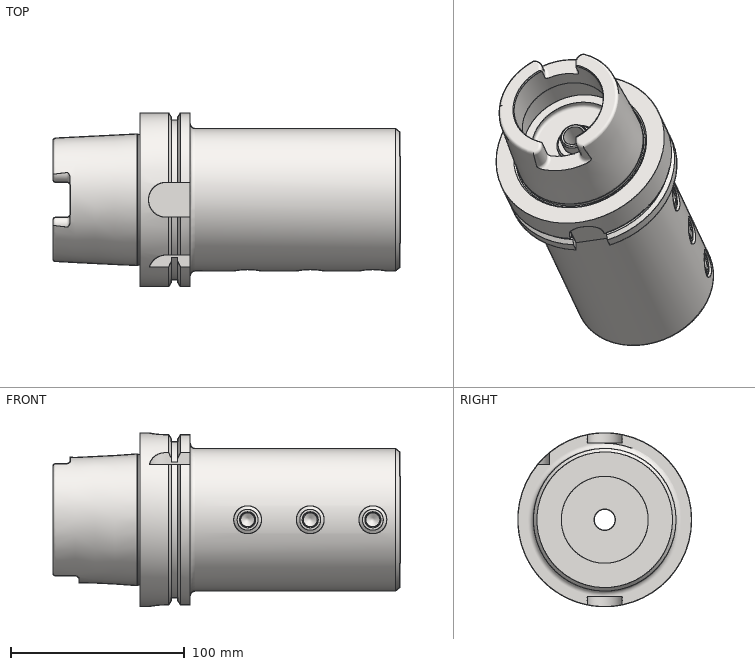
import cadquery as cq
import math


SHANK_LENGTH = 50.0
TAPER_DIAMETER = 75.7
TAPER_END_X = -2.7
TAPER_SLOPE = 0.05
TAIL_ROUNDING = 1.8
MOUTH_DIAMETER = 53.0
MOUTH_CHAMFER_DIAMETER = 53.8
MOUTH_CHAMFER_LENGTH = 1.0
CLAMP_DIAMETER = 63.0
CLAMP_START_X = -30.0
CLAMP_END_X = -9.0
CAVITY_FLOOR_X = -5.0
CAVITY_FLOOR_RADIUS = 1.6

UNDERCUT_START_X = -1.5
UNDERCUT_STRAIGHT_X = -0.9
UNDERCUT_INNER_DIAMETER = 75.3
UNDERCUT_FLOOR_DIAMETER = 77.0
UNDERCUT_OUTER_DIAMETER = 79.0
UNDERCUT_DEPTH = 1.0

DRIVE_SLOT_WIDTH = 20.0
DRIVE_SLOT_LIP_RADIUS = 5.0
DRIVE_SLOT_LIP_HEIGHT = 32.3
DRIVE_SLOT_FLOOR_RADIUS = 2.0
TOP_DRIVE_SLOT_DEPTH = 10.0
BOTTOM_DRIVE_SLOT_DEPTH = 15.0
DRIVE_SLOT_INNER_HEIGHT = 20.0
DRIVE_SLOT_OUTER_Y = 20.0

FLANGE_DIAMETER = 100.0
FLANGE_WIDTH = 29.0
GROOVE_CENTER_X = 20.0
GROOVE_FLOOR_WIDTH = 3.6
GROOVE_MOUTH_WIDTH = 6.8
GROOVE_FLOOR_DIAMETER = 92.0
GROOVE_KNEE_DIAMETER = 95.0

KEY_SLOT_WIDTH = 20.0
KEY_SLOT_START_X = 5.0
KEY_SLOT_FLOOR = 44.0
NOTCH_WALL = 31.8

BODY_DIAMETER = 82.0
BODY_END_X = 150.0
BODY_ROOT_RADIUS = 3.0
FACE_PAD_DIAMETER = 50.0
FACE_PAD_HEIGHT = 0.5
NOSE_CHAMFER_LENGTH = 2.5
NOSE_CHAMFER_DEPTH = 2.0

NUT_DIAMETER = 24.0
NUT_FACE_DIAMETER = 22.0
NUT_HEIGHT = 3.0
TUBE_DIAMETER = 16.0
TUBE_TIP_DIAMETER = 14.4
TUBE_HEIGHT = 10.0
THROUGH_DIAMETER = 12.0

SCREW_X_FIRST = 62.0
SCREW_SPACING = 36.0
SCREW_COUNT = 3
SCREW_DIAMETER = 16.0
SCREW_FACE_DIAMETER = 12.0
SCREW_FACE_DEPTH = 1.0
SCREW_BEVEL_ANGLE = 30.0
SOCKET_MOUTH_DIAMETER = 9.24
SOCKET_DIAMETER = 8.0
SOCKET_DEPTH = 2.0
SOCKET_TIP_ANGLE = 120.0


def taper_radius(x):
    return TAPER_DIAMETER / 2 + TAPER_SLOPE * (x - TAPER_END_X)


def revolve_about_x(profile):
    return profile.close().revolve(360, (0, 0, 0), (1, 0, 0))


def make_outside():
    """Solid of revolution: shank, undercut, grooved flange and body."""
    flange_radius = FLANGE_DIAMETER / 2
    body_radius = BODY_DIAMETER / 2
    face_x = BODY_END_X - FACE_PAD_HEIGHT
    root_center = (FLANGE_WIDTH + BODY_ROOT_RADIUS, body_radius + BODY_ROOT_RADIUS)
    root_middle = (
        root_center[0] - BODY_ROOT_RADIUS * math.sqrt(0.5),
        root_center[1] - BODY_ROOT_RADIUS * math.sqrt(0.5),
    )
    profile = (
        cq.Workplane("XY")
        .moveTo(-SHANK_LENGTH, 0)
        .lineTo(-SHANK_LENGTH, taper_radius(-SHANK_LENGTH))
        .lineTo(TAPER_END_X, TAPER_DIAMETER / 2)
        .lineTo(UNDERCUT_START_X, TAPER_DIAMETER / 2)
        .lineTo(UNDERCUT_STRAIGHT_X, UNDERCUT_INNER_DIAMETER / 2)
        .lineTo(UNDERCUT_DEPTH, UNDERCUT_INNER_DIAMETER / 2)
        .lineTo(UNDERCUT_DEPTH, UNDERCUT_FLOOR_DIAMETER / 2)
        .lineTo(0, UNDERCUT_OUTER_DIAMETER / 2)
        .lineTo(0, flange_radius)
        .lineTo(GROOVE_CENTER_X - GROOVE_MOUTH_WIDTH / 2, flange_radius)
        .lineTo(GROOVE_CENTER_X - GROOVE_FLOOR_WIDTH / 2, GROOVE_KNEE_DIAMETER / 2)
        .lineTo(GROOVE_CENTER_X - GROOVE_FLOOR_WIDTH / 2, GROOVE_FLOOR_DIAMETER / 2)
        .lineTo(GROOVE_CENTER_X + GROOVE_FLOOR_WIDTH / 2, GROOVE_FLOOR_DIAMETER / 2)
        .lineTo(GROOVE_CENTER_X + GROOVE_FLOOR_WIDTH / 2, GROOVE_KNEE_DIAMETER / 2)
        .lineTo(GROOVE_CENTER_X + GROOVE_MOUTH_WIDTH / 2, flange_radius)
        .lineTo(FLANGE_WIDTH, flange_radius)
        .lineTo(FLANGE_WIDTH, root_center[1])
        .threePointArc(root_middle, (root_center[0], body_radius))
        .lineTo(face_x - NOSE_CHAMFER_LENGTH, body_radius)
        .lineTo(face_x, body_radius - NOSE_CHAMFER_DEPTH)
        .lineTo(face_x, FACE_PAD_DIAMETER / 2)
        .lineTo(BODY_END_X, FACE_PAD_DIAMETER / 2)
        .lineTo(BODY_END_X, 0)
    )
    return revolve_about_x(profile)


def make_shank_cavity():
    """Cutter for the shank cavity: chamfered mouth, clamping groove and rounded floor."""
    mouth_radius = MOUTH_DIAMETER / 2
    bend = CAVITY_FLOOR_RADIUS * math.sqrt(0.5)
    bend_center_x = CAVITY_FLOOR_X - CAVITY_FLOOR_RADIUS
    bend_center_r = mouth_radius - CAVITY_FLOOR_RADIUS
    profile = (
        cq.Workplane("XY")
        .moveTo(-SHANK_LENGTH, 0)
        .lineTo(-SHANK_LENGTH, MOUTH_CHAMFER_DIAMETER / 2)
        .lineTo(-SHANK_LENGTH + MOUTH_CHAMFER_LENGTH, mouth_radius)
        .lineTo(CLAMP_START_X, mouth_radius)
        .lineTo(CLAMP_START_X, CLAMP_DIAMETER / 2)
        .lineTo(CLAMP_END_X, CLAMP_DIAMETER / 2)
        .lineTo(CLAMP_END_X, mouth_radius)
        .lineTo(bend_center_x, mouth_radius)
        .threePointArc(
            (bend_center_x + bend, bend_center_r + bend),
            (CAVITY_FLOOR_X, bend_center_r),
        )
        .lineTo(CAVITY_FLOOR_X, 0)
    )
    return revolve_about_x(profile)


def make_coolant_tube():
    """Coolant tube and its nut, standing on the cavity floor, both with chamfered ends."""
    nut_x = CAVITY_FLOOR_X - NUT_HEIGHT
    tip_x = CAVITY_FLOOR_X - TUBE_HEIGHT
    nut_chamfer = (NUT_DIAMETER - NUT_FACE_DIAMETER) / 2
    tip_chamfer = (TUBE_DIAMETER - TUBE_TIP_DIAMETER) / 2
    profile = (
        cq.Workplane("XY")
        .moveTo(CAVITY_FLOOR_X, 0)
        .lineTo(CAVITY_FLOOR_X, NUT_DIAMETER / 2)
        .lineTo(nut_x + nut_chamfer, NUT_DIAMETER / 2)
        .lineTo(nut_x, NUT_FACE_DIAMETER / 2)
        .lineTo(nut_x, TUBE_DIAMETER / 2)
        .lineTo(tip_x + tip_chamfer, TUBE_DIAMETER / 2)
        .lineTo(tip_x, TUBE_TIP_DIAMETER / 2)
        .lineTo(tip_x, 0)
    )
    return revolve_about_x(profile)


def make_through_bore():
    """Cutter for the coolant bore that runs through the tube and the whole body."""
    return (
        cq.Workplane("YZ", origin=(-SHANK_LENGTH, 0, 0))
        .circle(THROUGH_DIAMETER / 2)
        .extrude(SHANK_LENGTH + BODY_END_X)
    )


def make_slot_jaw(depth):
    """Material left on the +Y side of a tail slot, with its tail edge rounded."""
    half_width = DRIVE_SLOT_WIDTH / 2
    lip_y = half_width + DRIVE_SLOT_LIP_RADIUS
    lip_start_z = DRIVE_SLOT_LIP_HEIGHT - DRIVE_SLOT_LIP_RADIUS
    arc_offset = DRIVE_SLOT_LIP_RADIUS * math.sqrt(0.5)
    jaw = (
        cq.Workplane("YZ", origin=(-SHANK_LENGTH, 0, 0))
        .moveTo(half_width, DRIVE_SLOT_INNER_HEIGHT)
        .lineTo(half_width, lip_start_z)
        .threePointArc(
            (lip_y - arc_offset, lip_start_z + arc_offset),
            (lip_y, DRIVE_SLOT_LIP_HEIGHT),
        )
        .lineTo(DRIVE_SLOT_OUTER_Y, DRIVE_SLOT_LIP_HEIGHT)
        .lineTo(DRIVE_SLOT_OUTER_Y, DRIVE_SLOT_INNER_HEIGHT)
        .close()
        .extrude(depth)
    )
    wall_point = (-SHANK_LENGTH, half_width, lip_start_z)
    wall_edge = cq.selectors.NearestToPointSelector(wall_point)
    return jaw.faces("<X").edges(wall_edge).fillet(TAIL_ROUNDING)


def make_drive_slot(depth):
    """Cutter for a tail slot at +Z whose side walls flare outward in an arc."""
    floor_x = depth - SHANK_LENGTH
    height = TAPER_DIAMETER / 2 - DRIVE_SLOT_INNER_HEIGHT
    lip_start_z = DRIVE_SLOT_LIP_HEIGHT - DRIVE_SLOT_LIP_RADIUS
    jaw = make_slot_jaw(depth)
    slot = (
        cq.Workplane("YZ", origin=(-SHANK_LENGTH, 0, DRIVE_SLOT_INNER_HEIGHT + height / 2))
        .rect(2 * DRIVE_SLOT_OUTER_Y, height)
        .extrude(depth)
        .cut(jaw)
        .cut(jaw.mirror("XZ"))
    )
    for side in (1, -1):
        wall_point = (floor_x, side * DRIVE_SLOT_WIDTH / 2, lip_start_z)
        wall_edge = cq.selectors.NearestToPointSelector(wall_point)
        slot = slot.faces(">X").edges(wall_edge).fillet(DRIVE_SLOT_FLOOR_RADIUS)
    return slot


def make_rim_slot(center_y, floor_z):
    """Cutter for a round-ended slot that opens at the body side of the flange."""
    radius = KEY_SLOT_WIDTH / 2
    end_center_x = KEY_SLOT_START_X + radius
    return (
        cq.Workplane("XY", origin=(0, center_y, floor_z))
        .moveTo(FLANGE_WIDTH, -radius)
        .lineTo(end_center_x, -radius)
        .threePointArc((KEY_SLOT_START_X, 0), (end_center_x, radius))
        .lineTo(FLANGE_WIDTH, radius)
        .close()
        .extrude(FLANGE_DIAMETER / 2 - floor_z)
    )


def make_screw_recess(x):
    """Cutter that leaves a sunk screw: a ring down to its bevel and a drilled socket."""
    surface_y = -BODY_DIAMETER / 2
    face_y = surface_y + SCREW_FACE_DEPTH
    bevel_width = (SCREW_DIAMETER - SCREW_FACE_DIAMETER) / 2
    bevel_end_y = face_y + bevel_width * math.tan(math.radians(SCREW_BEVEL_ANGLE))
    socket_y = face_y + (SOCKET_MOUTH_DIAMETER - SOCKET_DIAMETER) / 2
    socket_end_y = face_y + SOCKET_DEPTH
    tip_y = socket_end_y + SOCKET_DIAMETER / 2 / math.tan(math.radians(SOCKET_TIP_ANGLE / 2))
    return (
        cq.Workplane("XY", origin=(x, 0, 0))
        .moveTo(0, surface_y)
        .lineTo(SCREW_DIAMETER / 2, surface_y)
        .lineTo(SCREW_DIAMETER / 2, bevel_end_y)
        .lineTo(SCREW_FACE_DIAMETER / 2, face_y)
        .lineTo(SOCKET_MOUTH_DIAMETER / 2, face_y)
        .lineTo(SOCKET_DIAMETER / 2, socket_y)
        .lineTo(SOCKET_DIAMETER / 2, socket_end_y)
        .lineTo(0, tip_y)
        .close()
        .revolve(360, (0, 0, 0), (0, 1, 0))
    )


def flip_to_bottom(cutter):
    return cutter.rotate((0, 0, 0), (1, 0, 0), 180)


holder = make_outside().faces("<X").edges().fillet(TAIL_ROUNDING)
holder = holder.cut(make_drive_slot(TOP_DRIVE_SLOT_DEPTH))
holder = holder.cut(flip_to_bottom(make_drive_slot(BOTTOM_DRIVE_SLOT_DEPTH)))
holder = holder.cut(make_shank_cavity()).union(make_coolant_tube()).cut(make_through_bore())

key_slot = make_rim_slot(0, KEY_SLOT_FLOOR)
holder = holder.cut(key_slot).cut(flip_to_bottom(key_slot))
holder = holder.cut(make_rim_slot(-NOTCH_WALL - KEY_SLOT_WIDTH / 2, NOTCH_WALL))

for index in range(SCREW_COUNT):
    holder = holder.cut(make_screw_recess(SCREW_X_FIRST + index * SCREW_SPACING))

result = holder